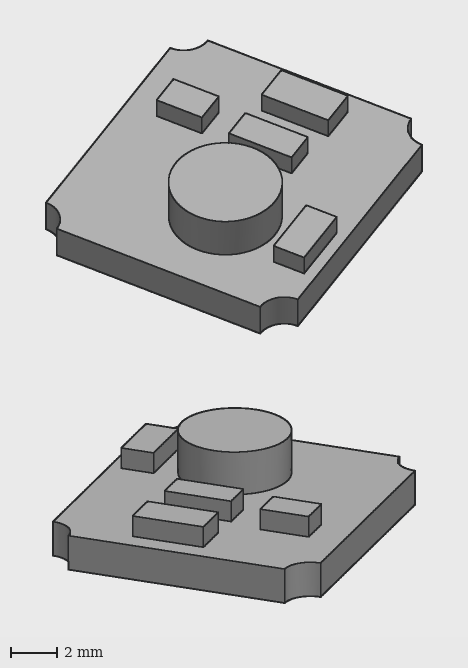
import cadquery as cq

board_width = 12.5
board_length = 13.5
board_thickness = 1.6
corner_notch_radius = 1.2

can_diameter = 4.94
can_center = (0.95, -2.47)
overall_height = 3.6
can_height = overall_height - board_thickness

chip_height = 0.96
chips = [
    (0.78, 4.91, 3.31, 1.75),
    (-3.56, 2.28, 2.25, 1.51),
    (0.62, 1.96, 3.1, 1.46),
    (4.94, -2.54, 1.51, 2.92),
]


def make_board():
    """Plate with a concave quarter-round notch at each corner."""
    plate = cq.Workplane("XY").rect(board_width, board_length).extrude(board_thickness)
    notches = (
        cq.Workplane("XY")
        .rect(board_width, board_length, forConstruction=True)
        .vertices()
        .circle(corner_notch_radius)
        .extrude(board_thickness)
    )
    return plate.cut(notches)


def make_can():
    """Cylindrical component standing on the board."""
    return (
        cq.Workplane("XY", origin=(0, 0, board_thickness))
        .center(*can_center)
        .circle(can_diameter / 2)
        .extrude(can_height)
    )


def make_chip(center_x, center_y, size_x, size_y):
    """Rectangular component standing on the board."""
    return (
        cq.Workplane("XY", origin=(0, 0, board_thickness))
        .center(center_x, center_y)
        .rect(size_x, size_y)
        .extrude(chip_height)
    )


result = make_board().union(make_can())
for chip in chips:
    result = result.union(make_chip(*chip))